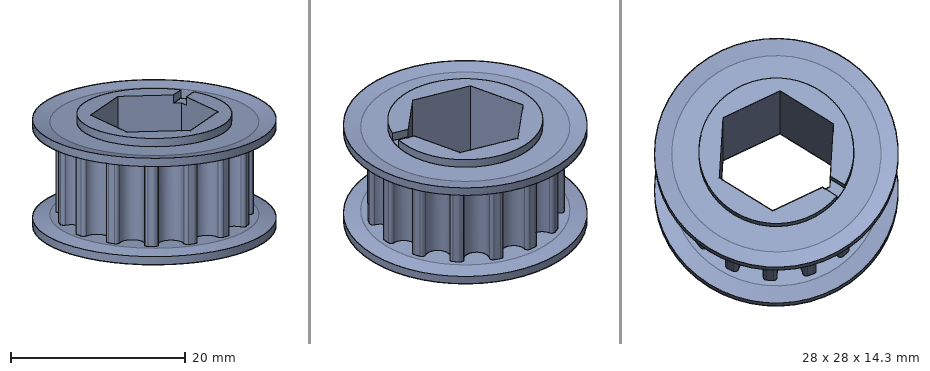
import cadquery as cq
import math

total_height = 14.28
hub_rise = 1.0

flange_radius = 14.0
flange_thickness = 1.0
flat_radius = 12.0
rim_drop = 0.35

hub_radius = 8.9
hex_flats = 12.7
hex_circle = hex_flats / math.cos(math.radians(30))

notch_width = 1.62
notch_reach = hub_radius + 0.28
notch_depth = hub_rise

tooth_count = 15
tooth_pitch = 360 / tooth_count
tooth_radius = 11.37
groove_radius = 1.48
groove_centre = 10.78
tip_round = 0.42
tooth_turn = -0.4
belt_width = total_height - 2 * (hub_rise + flange_thickness)


def polar(radius, angle):
    """Point at a radius and an angle in degrees."""
    return (radius * math.cos(math.radians(angle)), radius * math.sin(math.radians(angle)))


def toothed_outline():
    """Closed outline of rounded teeth separated by circular grooves."""
    tip_centre = tooth_radius - tip_round
    centre_gap = groove_radius + tip_round
    tip_angle = math.degrees(
        math.acos((tip_centre**2 + groove_centre**2 - centre_gap**2) / (2 * tip_centre * groove_centre))
    )
    tip_x, tip_y = polar(tip_centre, tip_angle)
    share = groove_radius / centre_gap
    meet_x = groove_centre + share * (tip_x - groove_centre)
    meet_y = share * tip_y
    meet_radius = math.hypot(meet_x, meet_y)
    meet_angle = math.degrees(math.atan2(meet_y, meet_x))

    meet_direction = math.degrees(math.atan2(meet_y - tip_y, meet_x - tip_x))
    offset_x, offset_y = polar(tip_round, (meet_direction + tip_angle) / 2)
    tip_mid_radius = math.hypot(tip_x + offset_x, tip_y + offset_y)
    tip_mid_angle = math.degrees(math.atan2(tip_y + offset_y, tip_x + offset_x))

    first_groove = -90 + tooth_turn + tooth_pitch / 2
    outline = cq.Workplane("XY").moveTo(*polar(tooth_radius, first_groove - tip_angle))
    for index in range(tooth_count):
        groove = first_groove + index * tooth_pitch
        next_groove = groove + tooth_pitch
        outline = (
            outline.threePointArc(
                polar(tip_mid_radius, groove - tip_mid_angle), polar(meet_radius, groove - meet_angle)
            )
            .threePointArc(
                polar(groove_centre - groove_radius, groove), polar(meet_radius, groove + meet_angle)
            )
            .threePointArc(
                polar(tip_mid_radius, groove + tip_mid_angle), polar(tooth_radius, groove + tip_angle)
            )
            .threePointArc(
                polar(tooth_radius, groove + tooth_pitch / 2),
                polar(tooth_radius, next_groove - tip_angle),
            )
        )
    return outline.close()


def make_pulley():
    """Toothed core with a hub at each end, a hex bore and the index notch."""
    teeth = toothed_outline().extrude(belt_width / 2, both=True)
    hub = cq.Workplane("XY").circle(hub_radius).extrude(total_height / 2, both=True)
    bore = (
        cq.Workplane("XY")
        .polygon(6, hex_circle)
        .extrude(total_height / 2, both=True)
        .rotate((0, 0, 0), (0, 0, 1), 90)
    )
    notch = (
        cq.Workplane("XY", origin=(0, 0, total_height / 2 - notch_depth))
        .box(notch_width, notch_reach, notch_depth, centered=(True, False, False))
    )
    return teeth.union(hub).cut(bore).cut(notch)


def make_flange(side):
    """Dished flange against the end of the teeth; side is +1 at the top, -1 at the bottom."""
    inner = side * belt_width / 2
    outer = inner + side * flange_thickness
    lean = side * rim_drop
    section = [
        (hub_radius, inner),
        (flat_radius, inner),
        (flange_radius, inner + lean),
        (flange_radius, outer + lean),
        (flat_radius, outer),
        (hub_radius, outer),
    ]
    return cq.Workplane("XZ").polyline(section).close().revolve(360, (0, 0), (0, 1))


pulley = make_pulley()
flanges = [make_flange(side) for side in (1, -1)]

result = cq.Compound.makeCompound([pulley.val(), *[flange.val() for flange in flanges]])